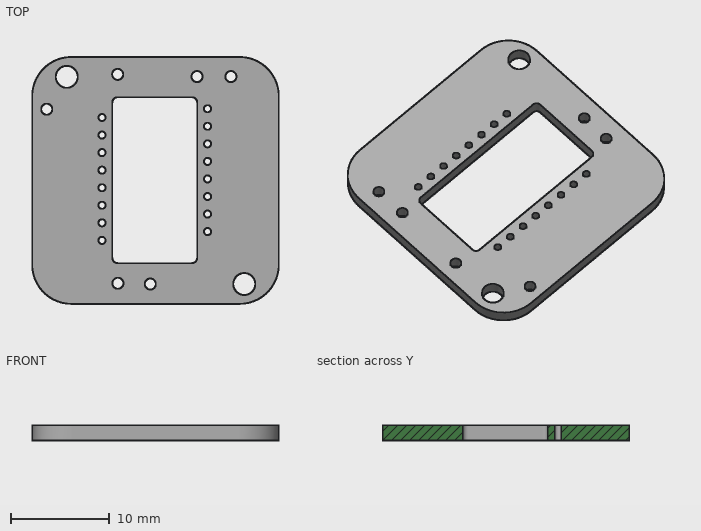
import cadquery as cq

plate_width = 25.0
plate_length = 25.03
plate_thickness = 1.58
corner_radius = 4.0

window_width = 8.55
window_length = 16.77
window_corner_radius = 0.5
window_x = -0.08
window_y = 0.03

pin_diameter = 0.7
pins_per_row = 8
pin_pitch = 1.78
row_spacing = 10.7
left_row_y = 0.15
right_row_y = left_row_y + pin_pitch / 2

mount_diameter = 2.2
mount_x = 8.99
mount_y = 10.5
mount_points = [(-mount_x, mount_y), (mount_x, -mount_y)]

wire_diameter = 1.1
wire_points = [
    (-11.01, 7.2),
    (-3.83, 10.75),
    (4.2, 10.51),
    (7.63, 10.51),
    (-3.8, -10.4),
    (-0.53, -10.5),
]


def rounded_block(width, length, radius):
    """Block as thick as the plate, with rounded vertical edges."""
    block = cq.Workplane("XY").rect(width, length).extrude(plate_thickness)
    return block.edges("|Z").fillet(radius)


def drill(body, points, diameter):
    """Cut through holes of one diameter at the given points."""
    holes = cq.Workplane("XY").pushPoints(points).circle(diameter / 2).extrude(plate_thickness)
    return body.cut(holes)


def pin_row(x, centre_y):
    """Centres of one row of pin holes running along Y."""
    first_y = centre_y - pin_pitch * (pins_per_row - 1) / 2
    return [(x, first_y + i * pin_pitch) for i in range(pins_per_row)]


plate = rounded_block(plate_width, plate_length, corner_radius)

window = rounded_block(window_width, window_length, window_corner_radius)
plate = plate.cut(window.translate((window_x, window_y, 0)))

left_row = pin_row(window_x - row_spacing / 2, left_row_y)
right_row = pin_row(window_x + row_spacing / 2, right_row_y)
plate = drill(plate, left_row + right_row, pin_diameter)
plate = drill(plate, mount_points, mount_diameter)
plate = drill(plate, wire_points, wire_diameter)

result = plate